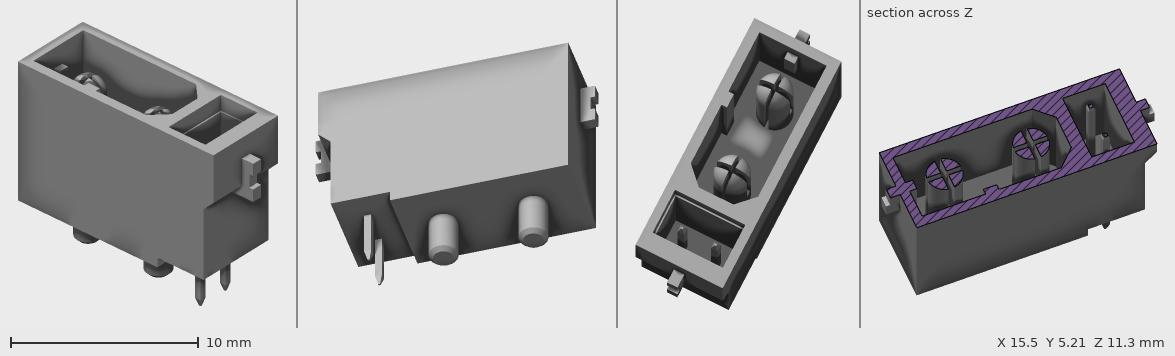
import cadquery as cq

overall_length = 15.5
overall_height = 11.3
width = 5.21

housing_height = 8.8
left_tab_reach = 0.8
right_tab_reach = 0.8
housing_left = -overall_length / 2 + left_tab_reach
housing_right = overall_length / 2 - right_tab_reach
top = overall_height
housing_bottom = top - housing_height
foot_length = 9.9
foot_step = 0.6
end_relief = 0.7

tab_width = 0.62
tab_drop = 1.3
tab_height = 2.42
tab_embed = 0.99
tab_notch_height = 0.84
left_notch_depth = 0.25
right_notch_depth = 0.28
tab_bottom = top - tab_drop - tab_height

cavity_left = housing_left + 0.57
cavity_length = 8.99
cavity_width = 4.01
cavity_corner = 0.98
cavity_depth = 7.0
key_length = 0.8
key_height = 0.33
key_offset = 3.63

contact_diameter = 2.0
peg_diameter = 1.6
peg_chamfer = 0.23
contact_spacing = 4.99
first_contact_x = housing_left + 2.7
contact_drop = 0.99
crosswise_slot_depth = 4.0
lengthwise_slot = 0.25
crosswise_slot = 0.33

pocket_left = housing_left + 10.26
pocket_length = 2.62
pocket_width = 4.2
pocket_ledge = 0.1
ledge_drop = 0.99
pocket_depth = cavity_depth

pin_size = 0.39
pin_tip_size = 0.11
pin_taper = 0.5
pin_pitch = 2.0
pin_x = housing_left + 11.55
pin_drop = 2.0


def box(left, length, depth, bottom, height):
    """Box starting at the given left X and bottom Z, centred on Y = 0."""
    corner = (left, -depth / 2, bottom)
    return cq.Workplane("XY").box(length, depth, height, centered=False).translate(corner)


def housing():
    outline = [
        (housing_left, top),
        (housing_right, top),
        (housing_right, tab_bottom + end_relief),
        (housing_right - end_relief, tab_bottom),
        (housing_right - end_relief, housing_bottom + foot_step),
        (housing_left + foot_length, housing_bottom + foot_step),
        (housing_left + foot_length, housing_bottom),
        (housing_left, housing_bottom),
    ]
    return cq.Workplane("XZ").polyline(outline).close().extrude(width / 2, both=True)


def power_cavity():
    floor = top - cavity_depth
    cavity = box(cavity_left, cavity_length, cavity_width, floor, cavity_depth)
    cavity = cavity.edges("|Z and >X").chamfer(cavity_corner)
    key = box(cavity_left + key_offset, key_length, 2 * key_height, floor, cavity_depth)
    return cavity.cut(key.translate((0, -cavity_width / 2, 0)))


def signal_pocket():
    mouth = box(pocket_left, pocket_length, pocket_width, top - ledge_drop, ledge_drop)
    well = box(
        pocket_left + pocket_ledge,
        pocket_length - 2 * pocket_ledge,
        pocket_width - 2 * pocket_ledge,
        top - pocket_depth,
        pocket_depth,
    )
    return mouth.union(well)


def latch_tab(outer_x, inner_x, notch_depth):
    """Flat tab between two X positions, notched in the middle of its outer edge."""
    left = min(outer_x, inner_x)
    tab = box(left, abs(outer_x - inner_x), tab_width, tab_bottom, tab_height)
    notch_bottom = tab_bottom + (tab_height - tab_notch_height) / 2
    notch = box(outer_x - notch_depth, 2 * notch_depth, tab_width, notch_bottom, tab_notch_height)
    return tab.cut(notch)


def power_contact(x):
    """Domed, cross-slotted contact on top of a chamfered solder peg."""
    radius = contact_diameter / 2
    floor = top - cavity_depth
    tip = top - contact_drop
    peg = cq.Workplane("XY").circle(peg_diameter / 2).extrude(floor)
    peg = peg.faces("<Z").chamfer(peg_chamfer)
    shank_height = tip - radius - floor
    post = cq.Workplane("XY").workplane(offset=floor).circle(radius).extrude(shank_height)
    post = post.union(cq.Workplane("XY").sphere(radius).translate((0, 0, tip - radius)))
    post = post.cut(box(-radius, contact_diameter, lengthwise_slot, floor, tip - floor))
    crosswise_bottom = tip - crosswise_slot_depth
    post = post.cut(
        box(-crosswise_slot / 2, crosswise_slot, contact_diameter, crosswise_bottom, crosswise_slot_depth)
    )
    return post.union(peg).translate((x, 0, 0))


def signal_pin(y):
    """Square pin tapered at both ends."""
    height = top - pin_drop
    shank_height = height - 2 * pin_taper
    shank = cq.Workplane("XY").workplane(offset=pin_taper).rect(pin_size, pin_size).extrude(shank_height)
    taper = (
        cq.Workplane("XY")
        .rect(pin_size, pin_size)
        .workplane(offset=pin_taper)
        .rect(pin_tip_size, pin_tip_size)
        .loft()
    )
    upper_tip = taper.translate((0, 0, height - pin_taper))
    lower_tip = taper.rotate((0, 0, 0), (1, 0, 0), 180).translate((0, 0, pin_taper))
    return shank.union(upper_tip).union(lower_tip).translate((pin_x, y, 0))


result = housing().cut(power_cavity()).cut(signal_pocket())
result = result.union(latch_tab(-overall_length / 2, housing_left + tab_embed, left_notch_depth))
result = result.union(latch_tab(overall_length / 2, housing_right - tab_embed, right_notch_depth))
for contact_x in (first_contact_x, first_contact_x + contact_spacing):
    result = result.union(power_contact(contact_x))
for pin_y in (-pin_pitch / 2, pin_pitch / 2):
    result = result.union(signal_pin(pin_y))